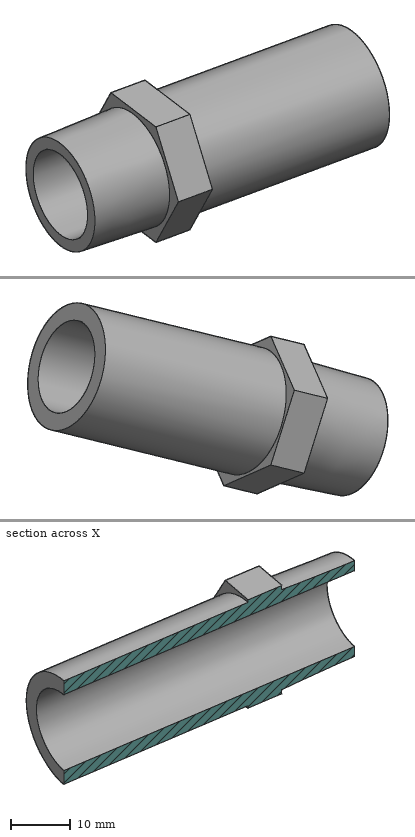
import cadquery as cq
import math

thread_length = 15.0
hex_length = 7.0
tube_length = 38.0

tube_diameter = 22.0
bore_diameter = 16.0

hex_sides = 6
hex_across_flats = 23.0
hex_across_corners = hex_across_flats / math.cos(math.pi / hex_sides)

thread_tip_diameter = 20.38
thread_taper = 1 / 16
thread_root_diameter = thread_tip_diameter + thread_length * thread_taper

hex_start = thread_length
tube_start = hex_start + hex_length
total_length = tube_start + tube_length


def cross_section(y):
    """Workplane across the axis at the given Y, extruding toward +Y."""
    return cq.Workplane(cq.Plane(origin=(0, y, 0), xDir=(1, 0, 0), normal=(0, 1, 0)))


def make_cylinder(diameter, start, length):
    return cross_section(start).circle(diameter / 2).extrude(length)


def make_thread_cone():
    tip = cross_section(0).circle(thread_tip_diameter / 2)
    root = tip.workplane(offset=thread_length).circle(thread_root_diameter / 2)
    return root.loft()


def make_hexagon():
    return cross_section(hex_start).polygon(hex_sides, hex_across_corners).extrude(hex_length)


body = make_thread_cone()
body = body.union(make_hexagon())
body = body.union(make_cylinder(tube_diameter, tube_start, tube_length))

result = body.cut(make_cylinder(bore_diameter, 0, total_length))